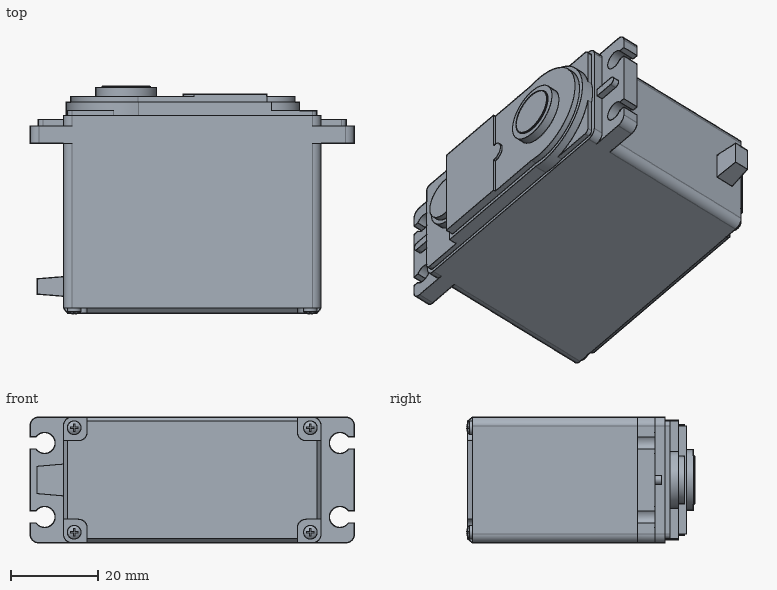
import cadquery as cq
import math


case_length = 59.0
case_width = 28.8
case_end = 45.3
corner_radius = 2.0

cover_depth = 1.2
cover_bevel = 1.0
pocket_size = 5.4

flange_length = 74.3
flange_start = 38.9
flange_thickness = 4.0
flange_end = flange_start + flange_thickness
hole_radius = 2.4
hole_edge_distance = 3.35
hole_z = 8.5
slot_width = 2.75
rib_width = 2.15
rib_height = 1.5
rib_setback = 1.85
rib_end_x = flange_length / 2 - rib_setback

step_inset = 1.0
slab_height = 1.1
lower_deck_end = 48.4
upper_deck_end = 49.7
plate_end = 50.2
output_x = -15.15
deck_wall_x = 18.1
deck_inset = 1.05
deck_disc_radius = 13.75
end_disc_x = 18.05
end_disc_radius = 6.55
deck_half_width = case_width / 2 - step_inset
plate_left_x = 0.4
plate_tab_radius = 2.45

boss_radius = 7.0
boss_end = 51.8
cap_radius = 5.6
cap_height = 0.3
cap_bevel = 0.15

cable_y = 6.2
cable_reach = 6.0
cable_root_y = 4.5
cable_root_z = 7.3
cable_tip_y = 3.6
cable_tip_z = 6.25

screw_inset = 2.45
head_radius = 1.55
head_rim_height = 0.75
dome_height = 0.6
cross_length = 1.8
cross_width = 0.4
cross_depth = 0.75


def box(x0, x1, y0, y1, z0, z1):
    """Box between two corners."""
    return cq.Workplane("XY").box(x1 - x0, y1 - y0, z1 - z0, centered=False).translate((x0, y0, z0))


def centred_slab(length, width, y0, y1, radius):
    """Slab centred in X and Z, with its four Y edges rounded."""
    slab = box(-length / 2, length / 2, y0, y1, -width / 2, width / 2)
    return slab.edges("|Y").fillet(radius)


def cylinder(x, z, radius, y0, y1):
    """Cylinder along Y."""
    return cq.Workplane("XZ", origin=(x, y0, z)).circle(radius).extrude(y0 - y1)


def make_case():
    body = centred_slab(case_length, case_width, cover_depth, case_end, corner_radius)
    cover = (
        cq.Workplane("XZ", origin=(0, cover_depth, 0))
        .rect(case_length, case_width)
        .workplane(offset=cover_depth)
        .rect(case_length - 2 * cover_bevel, case_width - 2 * cover_bevel)
        .loft()
    )
    for x_side in (-1, 1):
        for z_side in (-1, 1):
            cover = cover.cut(make_pocket(x_side, z_side))
    return body.union(cover)


def make_pocket(x_side, z_side):
    """Cutter for a corner pocket as deep as the cover."""
    pocket = box(-pocket_size, pocket_size, 0, cover_depth, -pocket_size, pocket_size)
    pocket = pocket.edges("|Y").fillet(corner_radius)
    return pocket.translate((x_side * case_length / 2, 0, z_side * case_width / 2))


def make_flange():
    flange = centred_slab(flange_length, case_width, flange_start, flange_end, corner_radius)
    for x_side in (-1, 1):
        hole_x = x_side * (flange_length / 2 - hole_edge_distance)
        slot_x = sorted((hole_x, x_side * flange_length / 2))
        for z in (-hole_z, hole_z):
            flange = flange.cut(cylinder(hole_x, z, hole_radius, flange_start, flange_end))
            slot_z = (z - slot_width / 2, z + slot_width / 2)
            flange = flange.cut(box(*slot_x, flange_start, flange_end, *slot_z))
    return flange


def make_ribs():
    """Ribs with rounded ends, as one bar running through the case from ear to ear."""
    bar = cq.Workplane("XZ", origin=(0, flange_start, 0)).slot2D(2 * rib_end_x, rib_width)
    return bar.extrude(flange_start - flange_end - rib_height)


def make_deck(inset, y0, y1):
    """Output deck: a bar with a large disc around the output and a small disc on its far end."""
    half_width = deck_half_width - inset
    bar = box(output_x, deck_wall_x - inset, y0, y1, -half_width, half_width)
    output_disc = cylinder(output_x, 0, deck_disc_radius - inset, y0, y1)
    end_disc = cylinder(end_disc_x, 0, end_disc_radius - inset, y0, y1)
    return bar.union(output_disc).union(end_disc)


def make_plate():
    """Thin raised plate with a round tab in the middle of its output side."""
    half_width = deck_half_width - deck_inset
    plate_right_x = deck_wall_x - deck_inset
    plate = box(plate_left_x, plate_right_x, lower_deck_end, plate_end, -half_width, half_width)
    return plate.union(cylinder(plate_left_x, 0, plate_tab_radius, lower_deck_end, plate_end))


def make_boss():
    boss = cylinder(output_x, 0, boss_radius, case_end, boss_end)
    cap = cylinder(output_x, 0, cap_radius, boss_end, boss_end + cap_height)
    return boss.union(cap.faces(">Y").chamfer(cap_bevel))


def make_cable_block():
    return (
        cq.Workplane("YZ", origin=(-case_length / 2, cable_y, 0))
        .rect(cable_root_y, cable_root_z)
        .workplane(offset=-cable_reach)
        .rect(cable_tip_y, cable_tip_z)
        .loft()
    )


def make_housing():
    slab = centred_slab(
        case_length - 2 * step_inset,
        case_width - 2 * step_inset,
        case_end,
        case_end + slab_height,
        corner_radius - step_inset,
    )
    return (
        make_case()
        .union(make_flange())
        .union(make_ribs())
        .union(slab)
        .union(make_deck(0, case_end, lower_deck_end))
        .union(make_deck(deck_inset, lower_deck_end, upper_deck_end))
        .union(make_plate())
        .union(make_boss())
        .union(make_cable_block())
    )


def make_screw(x, z):
    """Domed screw head with a cross recess, seated on the pocket floor."""
    rim_y = cover_depth - head_rim_height
    top_y = rim_y - dome_height
    dome_radius = (head_radius**2 + dome_height**2) / (2 * dome_height)
    half_angle = math.asin(head_radius / dome_radius) / 2
    dome_middle = (dome_radius * math.sin(half_angle), top_y + dome_radius * (1 - math.cos(half_angle)))
    head = (
        cq.Workplane("XY")
        .moveTo(0, cover_depth)
        .lineTo(head_radius, cover_depth)
        .lineTo(head_radius, rim_y)
        .threePointArc(dome_middle, (0, top_y))
        .close()
        .revolve(360, (0, 0, 0), (0, 1, 0))
    )
    for length, width in ((cross_length, cross_width), (cross_width, cross_length)):
        arm = box(-length / 2, length / 2, top_y, top_y + cross_depth, -width / 2, width / 2)
        head = head.cut(arm)
    return head.translate((x, 0, z))


housing = make_housing()

screw_x = case_length / 2 - screw_inset
screw_z = case_width / 2 - screw_inset
screws = [make_screw(x, z) for x in (-screw_x, screw_x) for z in (-screw_z, screw_z)]

result = cq.Compound.makeCompound([housing.val(), *[screw.val() for screw in screws]])